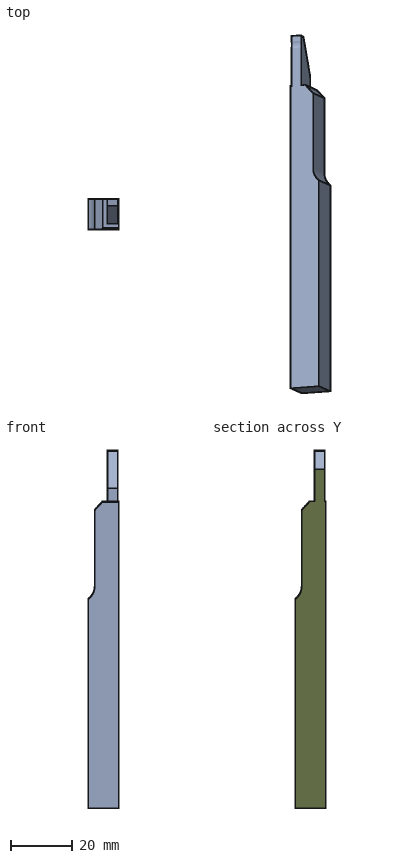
import cadquery as cq
import math

total_height = 116.6
side = 10.0

neck_top = 100.0
neck_relief = 2.1
neck_chamfer_width = 2.7
neck_chamfer_height = 2.9
relief_arc_top = 72.3
relief_arc_radius = 5.0
relief_arc_angle = math.radians(45)
front_chamfer_depth = 0.6
front_chamfer_height = 0.3

blade_thickness = 3.4
blade_inset = 0.3
blade_depth = 8.0
tip_depth = 2.2
tip_drop = 0.29
slope_start = 104.2

groove_top = 114.7
groove_bottom = 112.5
groove_depth = 0.17


def make_shank():
    """Square bar with the neck relief, its concave run-out and the top chamfers."""
    arc_end_x = neck_relief - relief_arc_radius * (1 - math.cos(relief_arc_angle))
    arc_end_z = relief_arc_top - relief_arc_radius * math.sin(relief_arc_angle)
    relief_bottom = arc_end_z - arc_end_x / math.tan(relief_arc_angle)
    shank = (
        cq.Workplane("XZ")
        .moveTo(0, 0)
        .lineTo(side, 0)
        .lineTo(side, neck_top)
        .lineTo(neck_relief + neck_chamfer_width, neck_top)
        .lineTo(neck_relief, neck_top - neck_chamfer_height)
        .lineTo(neck_relief, relief_arc_top)
        .radiusArc((arc_end_x, arc_end_z), relief_arc_radius)
        .lineTo(0, relief_bottom)
        .close()
        .extrude(-side)
    )
    front_chamfer = (
        cq.Workplane("YZ")
        .moveTo(0, neck_top)
        .lineTo(front_chamfer_depth, neck_top)
        .lineTo(0, neck_top - front_chamfer_height)
        .close()
        .extrude(side)
    )
    return shank.cut(front_chamfer)


def make_blade():
    """Flat blade with a sloping -Y edge, a narrow tip and a groove in its +Y face."""
    groove_middle = (groove_top + groove_bottom) / 2
    blade_front = side - blade_depth
    blade_left = side - blade_inset - blade_thickness
    return (
        cq.Workplane("YZ", origin=(blade_left, 0, 0))
        .moveTo(blade_front, neck_top)
        .lineTo(side, neck_top)
        .lineTo(side, groove_bottom)
        .threePointArc((side - groove_depth, groove_middle), (side, groove_top))
        .lineTo(side, total_height)
        .lineTo(side - tip_depth, total_height - tip_drop)
        .lineTo(blade_front, slope_start)
        .close()
        .extrude(blade_thickness)
    )


result = make_shank().union(make_blade())